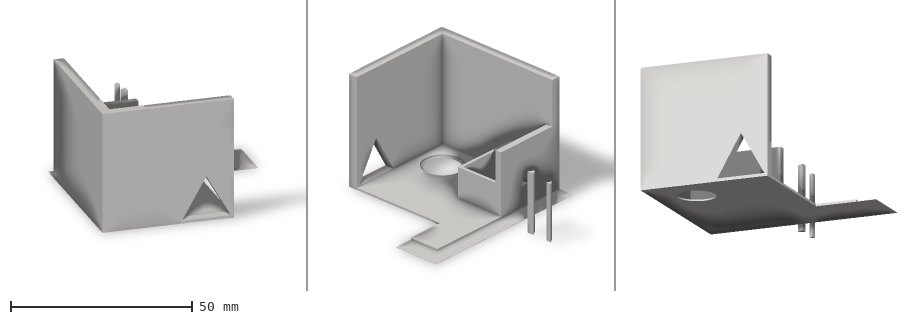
import cadquery as cq
import math

overall_length = 63.5

sheet_length = 49.0
sheet_depth = 56.0
sheet_thickness = 0.1
sheet_hole_diameter = 10.85

slab_left = 5.0
slab_rear_inset = 6.05
slab_top = 0.7
slab_hole_diameter = 12.6
hole_x = 37.8
hole_y = 12.0

arm_right = 15.0
main_depth = 38.05

housing_height = 35.1
wall_thickness = 3.0
left_wall_height = 20.7
left_wall_thickness = 2.05

box_length = 16.0
box_depth = 24.0
box_height = 10.55
box_side_thickness = 0.95
box_rear_thickness = 1.0

large_window_side = 14.15
large_window_y = 30.1
large_window_base = 0.9
small_window_side = 3.0
small_window_y = 14.35
small_window_base = 6.9

rod_rear_y = 25.0
rod_reach = overall_length - sheet_length
thin_rod_side = 1.5
thin_rod_x = thin_rod_side / 2 - rod_reach
thin_rod_height = 18.15
thick_rod_side = 2.1
thick_rod_x = -6.9
thick_rod_height = 19.05


def block(x0, x1, y0, y1, z0, z1):
    """Box between two opposite corners."""
    return cq.Workplane("XY").box(x1 - x0, y1 - y0, z1 - z0, centered=False).translate((x0, y0, z0))


def l_plate(left, rear, bottom, top):
    """L-shaped layer with the shared notch at its rear right corner."""
    outline = [
        (left, 0),
        (sheet_length, 0),
        (sheet_length, main_depth),
        (arm_right, main_depth),
        (arm_right, rear),
        (left, rear),
    ]
    return cq.Workplane("XY").workplane(offset=bottom).polyline(outline).close().extrude(top - bottom)


def floor_hole(diameter, bottom, top):
    """Round cutter through one floor layer."""
    plane = cq.Workplane("XY").workplane(offset=bottom)
    return plane.center(hole_x, hole_y).circle(diameter / 2).extrude(top - bottom)


def triangle_height(side):
    """Height of an equilateral triangle."""
    return side * math.sqrt(3) / 2


def window(side, center_y, base, wall_left, thickness):
    """Triangular cutter running along X through one wall."""
    corners = [
        (center_y - side / 2, base),
        (center_y + side / 2, base),
        (center_y, base + triangle_height(side)),
    ]
    return cq.Workplane("YZ").workplane(offset=wall_left).polyline(corners).close().extrude(thickness)


def make_housing():
    sheet = l_plate(0, sheet_depth, 0, sheet_thickness)
    sheet = sheet.cut(floor_hole(sheet_hole_diameter, 0, sheet_thickness))
    slab = l_plate(slab_left, sheet_depth - slab_rear_inset, sheet_thickness, slab_top)
    slab = slab.cut(floor_hole(slab_hole_diameter, sheet_thickness, slab_top))

    right_wall_left = sheet_length - wall_thickness
    front_wall = block(slab_left, sheet_length, 0, wall_thickness, sheet_thickness, housing_height)
    right_wall = block(right_wall_left, sheet_length, 0, main_depth, sheet_thickness, housing_height)
    right_wall = right_wall.cut(
        window(large_window_side, large_window_y, large_window_base, right_wall_left, wall_thickness)
    )

    left_wall_right = slab_left + left_wall_thickness
    left_wall = block(slab_left, left_wall_right, 0, box_depth, sheet_thickness, left_wall_height)
    left_wall = left_wall.cut(
        window(small_window_side, small_window_y, small_window_base, slab_left, left_wall_thickness)
    )

    box_right = slab_left + box_length
    box_inner_right = box_right - box_side_thickness
    box_inner_rear = box_depth - box_rear_thickness
    box_side = block(box_inner_right, box_right, 0, box_depth, sheet_thickness, box_height)
    box_rear = block(slab_left, box_right, box_inner_rear, box_depth, sheet_thickness, box_height)

    housing = sheet
    for piece in (slab, front_wall, right_wall, left_wall, box_side, box_rear):
        housing = housing.union(piece)
    return housing


def make_rod(side, center_x, height):
    """Upright triangular rod with a flat rear face and an edge toward the front."""
    corners = [
        (center_x - side / 2, rod_rear_y),
        (center_x + side / 2, rod_rear_y),
        (center_x, rod_rear_y - triangle_height(side)),
    ]
    return cq.Workplane("XY").polyline(corners).close().extrude(height)


housing = make_housing()
rods = []
for side, center_x, height in (
    (thin_rod_side, thin_rod_x, thin_rod_height),
    (thick_rod_side, thick_rod_x, thick_rod_height),
):
    rods.append(make_rod(side, center_x, height).val())

result = cq.Compound.makeCompound([housing.val(), *rods])